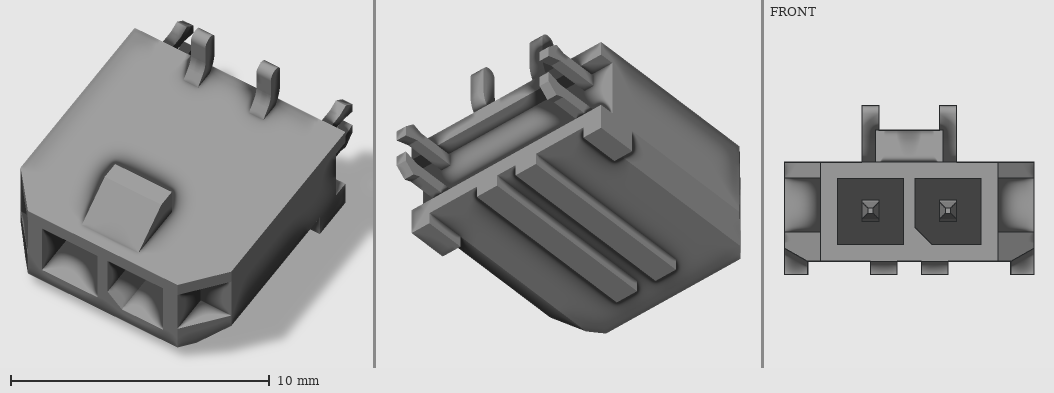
import cadquery as cq
import math

body_width = 9.65
body_length = 9.9
body_height = 3.84
overall_length = 11.9

corner_x = 1.4
corner_y = 1.68
corner_pocket_bottom = 1.14
corner_pocket_top = 3.22

foot_height = 0.51
foot_width = 0.9
foot_front = 8.06
edge_bevel_height = 0.51
rail_front = 1.6
rail_width = 1.04
rail_center = 0.99
rail_root = 0.12

pitch = 3.0
cavity_size = 2.55
cavity_bottom = 0.65
cavity_depth = 7.0
key_bevel = 0.65
rear_slot_depth = 0.67
cavity_top = cavity_bottom + cavity_size

contact_center_z = 1.96
blade_width = 0.67
blade_height = 0.83
blade_tip_y = 2.0
taper_length = 0.21
shoulder_height = 0.67
point_length = 0.86
point_size = 0.2
blade_root = 0.12

tail_thickness = 0.67
tail_rise = 2.19
tail_bend_rise = 0.94
tail_lean = 40.0
tail_bend_radius = 0.82
tail_leg = 0.57

latch_width = 2.6
latch_height = 1.24
latch_front = 0.54
latch_crest = 2.19
latch_back = 2.94

clip_thickness = 0.46
clip_center = 3.64
clip_root = 0.24
arm_inner = 0.61
arm_inner_flare_y = 11.21
upper_arm_outer = 1.11
upper_arm_outer_flare_y = 11.0
lower_arm_outer = 1.14
lower_arm_outer_flare_y = 11.05
barb_y = 11.44
barb_outer = 1.27
arm_tip_inner = 0.4
arm_tip_outer = 0.87


def block(x_center, width, y_start, y_end, z_start, z_end):
    """Box centred on x_center that spans the given Y and Z ranges."""
    size = (width, y_end - y_start, z_end - z_start)
    solid = cq.Workplane("XY").box(*size, centered=(True, False, False))
    return solid.translate((x_center, y_start, z_start))


def side_plate(points, x_center, thickness):
    """Plate whose (Y, Z) outline is extruded evenly about x_center."""
    plane = cq.Workplane("YZ", origin=(x_center, 0, 0))
    return plane.polyline(points).close().extrude(thickness / 2, both=True)


def housing():
    half = body_width / 2
    body = cq.Workplane("XY").polyline([
        (-half + corner_x, 0),
        (half - corner_x, 0),
        (half, corner_y),
        (half, body_length),
        (-half, body_length),
        (-half, corner_y),
    ]).close().extrude(body_height)
    for side in (-1, 1):
        pocket_x = side * (half - corner_x / 2)
        body = body.cut(block(pocket_x, corner_x, 0, corner_y, corner_pocket_bottom, corner_pocket_top))
        bevel = cq.Workplane("XZ").polyline([
            (side * half, 0),
            (side * half, edge_bevel_height),
            (side * (half - foot_width), 0),
        ]).close().extrude(-foot_front)
        body = body.cut(bevel)
        foot_x = side * (half - foot_width / 2)
        body = body.union(block(foot_x, foot_width, foot_front, body_length, -foot_height, edge_bevel_height))
        rail_x = side * rail_center
        body = body.union(block(rail_x, rail_width, rail_front, body_length, -foot_height, rail_root))
    slot_front = body_length - rear_slot_depth
    rear_slot = block(0, body_width, slot_front, body_length, cavity_bottom, cavity_top)
    return body.cut(rear_slot)


def cavity(x_center, keyed):
    hole = block(x_center, cavity_size, 0, cavity_depth, cavity_bottom, cavity_top)
    if keyed:
        hole = hole.edges("|Y and <X and <Z").chamfer(key_bevel)
    return hole


def blade(x_center):
    def section(y):
        return cq.Workplane("XZ", origin=(x_center, y, contact_center_z))

    shoulder_y = blade_tip_y + point_length
    shank_y = shoulder_y + taper_length
    shank = section(shank_y).rect(blade_width, blade_height).extrude(shank_y - cavity_depth - blade_root)
    taper = (section(shank_y).rect(blade_width, blade_height)
             .workplane(offset=taper_length).rect(blade_width, shoulder_height).loft(ruled=True))
    point = (section(shoulder_y).rect(blade_width, shoulder_height)
             .workplane(offset=point_length).rect(point_size, point_size).loft(ruled=True))
    return shank.union(taper).union(point)


def tail(x_center):
    """Round-ended tail that bends forward into the top face of the housing."""
    back = body_length
    front = body_length - tail_thickness
    tip_z = body_height + tail_rise
    straight_top = tip_z - tail_thickness / 2
    bend_z = body_height + tail_bend_rise
    outer_radius = tail_bend_radius + tail_thickness
    bend_center_y = front - tail_bend_radius

    def on_bend(radius, degrees):
        angle = math.radians(degrees)
        return (bend_center_y + radius * math.cos(angle), bend_z - radius * math.sin(angle))

    def leg_end(radius):
        angle = math.radians(tail_lean)
        y, z = on_bend(radius, tail_lean)
        return (y - tail_leg * math.sin(angle), z - tail_leg * math.cos(angle))

    return (
        cq.Workplane("YZ", origin=(x_center, 0, 0))
        .moveTo(front, bend_z)
        .lineTo(front, straight_top)
        .threePointArc((back - tail_thickness / 2, tip_z), (back, straight_top))
        .lineTo(back, bend_z)
        .threePointArc(on_bend(outer_radius, tail_lean / 2), on_bend(outer_radius, tail_lean))
        .lineTo(*leg_end(outer_radius))
        .lineTo(*leg_end(tail_bend_radius))
        .lineTo(*on_bend(tail_bend_radius, tail_lean))
        .threePointArc(on_bend(tail_bend_radius, tail_lean / 2), (front, bend_z))
        .close()
        .extrude(blade_width / 2, both=True)
    )


def latch():
    top = body_height + latch_height
    return side_plate([
        (latch_front, body_height),
        (latch_crest, top),
        (latch_back, top),
        (latch_back, body_height),
    ], 0, latch_width)


def clip_arm(x_center, direction, outer, outer_flare_y):
    """Barbed arm above (direction 1) or below (direction -1) the contact center height."""
    root_y = body_length - rear_slot_depth - clip_root
    profile = [
        (root_y, outer),
        (outer_flare_y, outer),
        (barb_y, barb_outer),
        (overall_length, arm_tip_outer),
        (overall_length, arm_tip_inner),
        (arm_inner_flare_y, arm_inner),
        (root_y, arm_inner),
    ]
    outline = [(y, contact_center_z + direction * offset) for y, offset in profile]
    return side_plate(outline, x_center, clip_thickness)


def clip(x_center):
    upper = clip_arm(x_center, 1, upper_arm_outer, upper_arm_outer_flare_y)
    lower = clip_arm(x_center, -1, lower_arm_outer, lower_arm_outer_flare_y)
    return upper.union(lower)


result = housing().union(latch())
for side in (-1, 1):
    contact_x = side * pitch / 2
    result = result.cut(cavity(contact_x, keyed=side > 0))
    result = result.union(blade(contact_x)).union(tail(contact_x)).union(clip(side * clip_center))